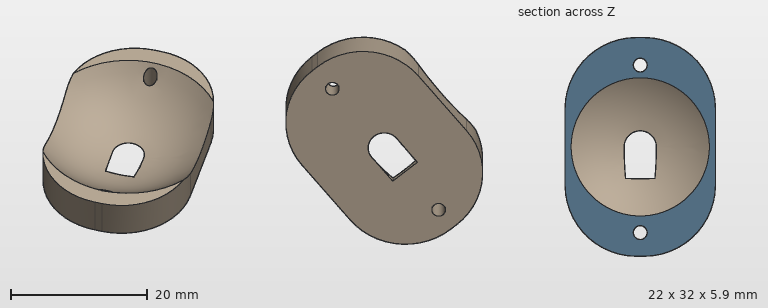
import cadquery as cq
import math

width = 22.0
length = 32.0
height = 5.9
corner_radius = 10.45

bowl_radius = 18.0
bowl_opening_radius = 2.35
bowl_center_z = math.sqrt(bowl_radius**2 - bowl_opening_radius**2)

slot_length = 4.8
slot_taper = 20.0
slot_cut_height = 1.28

hole_diameter = 2.0
hole_spacing = 24.48
hole_pair_center_y = -0.3


def make_body():
    block = cq.Workplane("XY").box(width, length, height, centered=(True, True, False))
    return block.edges("|Z").fillet(corner_radius)


def make_bowl():
    return cq.Workplane("XY").sphere(bowl_radius).translate((0, 0, bowl_center_z))


def make_slot():
    outline = (
        cq.Workplane("XY")
        .moveTo(-bowl_opening_radius, 0)
        .threePointArc((0, bowl_opening_radius), (bowl_opening_radius, 0))
        .lineTo(bowl_opening_radius, -slot_length)
        .lineTo(-bowl_opening_radius, -slot_length)
        .close()
    )
    return outline.extrude(slot_cut_height, taper=slot_taper)


def make_holes():
    half_spacing = hole_spacing / 2
    centers = [(0, hole_pair_center_y + side * half_spacing) for side in (-1, 1)]
    return cq.Workplane("XY").pushPoints(centers).circle(hole_diameter / 2).extrude(height)


result = make_body().cut(make_bowl()).cut(make_slot()).cut(make_holes())